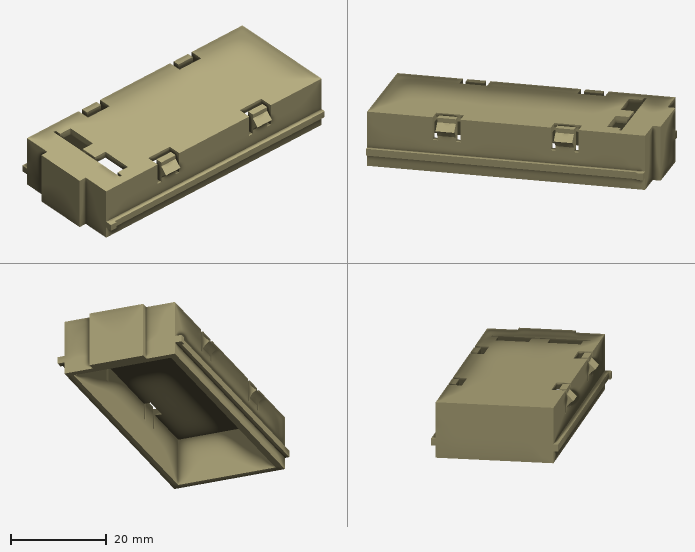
import cadquery as cq

BODY_WIDTH = 25.0
BODY_LENGTH = 60.0
BODY_HEIGHT = 12.0
WALL = 1.5

NOSE_WIDTH = 12.1
NOSE_DEPTH = 1.7

RAIL_BOTTOM = 2.6
RAIL_HEIGHT = 1.5
RAIL_SPAN = 27.0
STOP_SPAN = 28.0
STOP_LENGTH = 1.5

LATCH_CENTRE_Y = 0.1
LATCH_SPACING = 25.5
TONGUE_WIDTH = 4.0
TONGUE_GAP = 1.0
NOTCH_BOTTOM = 7.0
NOTCH_REACH = 3.0
HOOK_SPAN = 28.0
HOOK_TOP = 11.0
HOOK_BOTTOM = 8.0
HOOK_SAGITTA = 0.2

SLOT_FROM_FRONT = 5.6
SLOT_LENGTH = 21.0
SLOT_WIDTH = 0.6
WINDOW_WIDTH = 7.1
WINDOW_DEPTH = 2.9
WINDOW_SPACING = 11.0

HALF_WIDTH = BODY_WIDTH / 2
FRONT_Y = -BODY_LENGTH / 2
NOTCH_WIDTH = TONGUE_WIDTH + 2 * TONGUE_GAP
SIDES = (-1, 1)


def block(x_range, y_range, z_range):
    """Box between two X, two Y and two Z positions, each given in either order."""
    ranges = (x_range, y_range, z_range)
    sizes = [abs(end - start) for start, end in ranges]
    corner = tuple(min(limits) for limits in ranges)
    return cq.Workplane("XY").box(*sizes, centered=False).translate(corner)


def centred(middle, size):
    """Range of the given size about a middle position."""
    return (middle - size / 2, middle + size / 2)


def make_shell():
    """Roof and four walls, with the nose block on the -Y end."""
    outside = block(centred(0, BODY_WIDTH), centred(0, BODY_LENGTH), (0, BODY_HEIGHT))
    cavity = block(
        centred(0, BODY_WIDTH - 2 * WALL),
        centred(0, BODY_LENGTH - 2 * WALL),
        (0, BODY_HEIGHT - WALL),
    )
    nose = block(centred(0, NOSE_WIDTH), (FRONT_Y - NOSE_DEPTH, FRONT_Y), (0, BODY_HEIGHT))
    return outside.cut(cavity).union(nose)


def make_rail(side):
    """Guide rail over the full body length, plus the stop at its -Y end."""
    inner_x = side * (HALF_WIDTH - WALL / 2)
    heights = (RAIL_BOTTOM, RAIL_BOTTOM + RAIL_HEIGHT)
    rail = block((inner_x, side * RAIL_SPAN / 2), centred(0, BODY_LENGTH), heights)
    stop = block((inner_x, side * STOP_SPAN / 2), (FRONT_Y, FRONT_Y + STOP_LENGTH), heights)
    return rail.union(stop)


def make_notch(side, y):
    """Cutter through the side wall and the roof edge around a latch."""
    inner_x = side * (HALF_WIDTH - NOTCH_REACH)
    return block((inner_x, side * HALF_WIDTH), centred(y, NOTCH_WIDTH), (NOTCH_BOTTOM, BODY_HEIGHT))


def make_latch(side, y):
    """Tongue continuing the side wall, and its hook with a hollow underside."""
    inner_x = side * (HALF_WIDTH - WALL)
    wall_x = side * HALF_WIDTH
    tip_x = side * HOOK_SPAN / 2
    tongue = block((inner_x, wall_x), centred(y, TONGUE_WIDTH), (NOTCH_BOTTOM, BODY_HEIGHT))
    tip_z = HOOK_TOP - (HOOK_SPAN - BODY_WIDTH) / 2
    hook = (
        cq.Workplane("XZ", origin=(0, y, 0))
        .moveTo(wall_x, HOOK_TOP)
        .lineTo(tip_x, tip_z)
        .sagittaArc((wall_x, HOOK_BOTTOM), -side * HOOK_SAGITTA)
        .lineTo(inner_x, HOOK_BOTTOM)
        .lineTo(inner_x, HOOK_TOP)
        .close()
        .extrude(TONGUE_WIDTH / 2, both=True)
    )
    return tongue.union(hook)


def make_roof_opening():
    """Cutter through the roof: a slot across the part and a window on each side."""
    heights = (BODY_HEIGHT - WALL, BODY_HEIGHT)
    slot_start = FRONT_Y + SLOT_FROM_FRONT
    slot_end = slot_start + SLOT_WIDTH
    opening = block(centred(0, SLOT_LENGTH), (slot_start, slot_end), heights)
    for side in SIDES:
        window_x = centred(side * WINDOW_SPACING / 2, WINDOW_WIDTH)
        opening = opening.union(block(window_x, (slot_start, slot_end + WINDOW_DEPTH), heights))
    return opening


part = make_shell().cut(make_roof_opening())
for side in SIDES:
    part = part.union(make_rail(side))
    for y in centred(LATCH_CENTRE_Y, LATCH_SPACING):
        part = part.cut(make_notch(side, y)).union(make_latch(side, y))

result = part